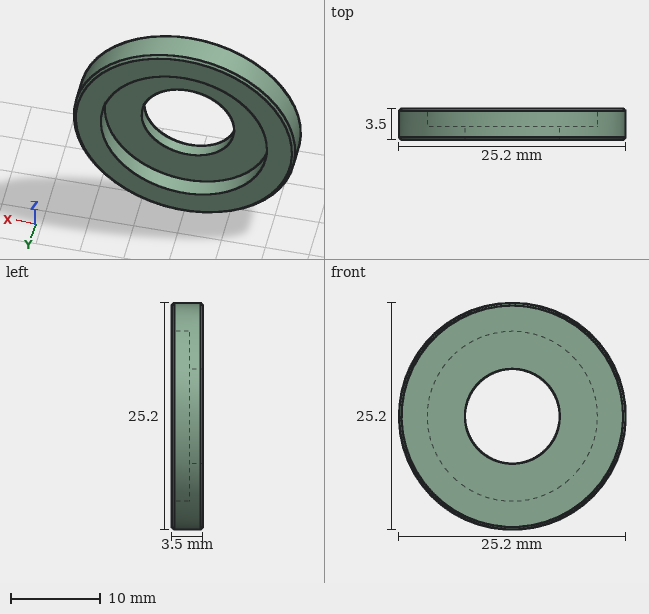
import cadquery as cq

outer_diameter = 25.22
hole_diameter = 10.52
thickness = 3.5
rim_chamfer = 0.3
web_thickness = 1.5
recess_diameter = 18.92

front_y = -thickness / 2
web_back_y = front_y + web_thickness
recess_depth = thickness - web_thickness


def cylinder(diameter, start_y, length):
    """Cylinder along +Y, starting at start_y."""
    return (
        cq.Workplane("ZX", origin=(0, start_y, 0))
        .circle(diameter / 2)
        .extrude(length)
    )


disc = cylinder(outer_diameter, front_y, thickness)
chamfered_disc = disc.faces("<Y or >Y").edges().chamfer(rim_chamfer)

bore = cylinder(hole_diameter, front_y, thickness)
recess = cylinder(recess_diameter, web_back_y, recess_depth)

result = chamfered_disc.cut(bore).cut(recess)